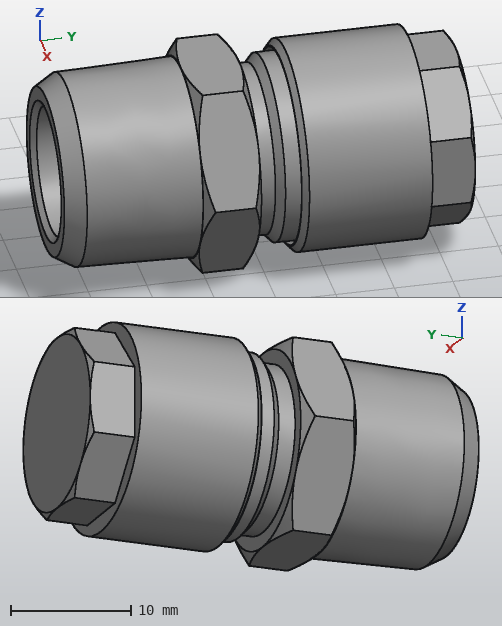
import cadquery as cq
import math

THREAD_CHAMFER_END = 1.7
BODY_HEX_START = 11.55
BODY_HEX_END = 16.52
NECK_END = 18.0
COLLAR_CONE_END = 18.7
NUT_START = 20.0
NUT_RECESS_END = 21.0
NUT_CHAMFER_END = 20.5
NUT_END = 31.0
LENGTH = 35.0

THREAD_TIP_RADIUS = 7.18
THREAD_SMALL_RADIUS = 8.2
THREAD_LARGE_RADIUS = 8.45
NECK_RADIUS = 7.25
COLLAR_RADIUS = 7.98
NUT_RADIUS = 9.0
NUT_FACE_RADIUS = 8.45
NUT_BORE_RADIUS = 8.33

BODY_HEX_FLATS = 17.0
END_OCTAGON_FLATS = 14.98
CORNER_BEVEL_ANGLE = 30.0

BORE_RADIUS = 5.5
BORE_MOUTH_RADIUS = 6.0
BORE_CHAMFER_DEPTH = 0.5
BORE_DEPTH = 2.8


def revolve_profile(points):
    """Revolve a closed (radius, y) outline about the Y axis."""
    return cq.Workplane("XY").polyline(points).close().revolve(360, (0, 0, 0), (0, 1, 0))


def wrench_prism(sides, flats, start, end, bevel_start):
    """Polygonal prism along Y with conically bevelled corners at its end and optionally its start."""
    flat_radius = flats / 2
    corner_radius = flat_radius / math.cos(math.pi / sides)
    bevel = (corner_radius - flat_radius) * math.tan(math.radians(CORNER_BEVEL_ANGLE))
    prism = (
        cq.Workplane("XZ", origin=(0, start, 0))
        .polygon(sides, 2 * corner_radius)
        .extrude(start - end)
    )
    if sides % 4 == 0:
        prism = prism.rotate((0, 0, 0), (0, 1, 0), 180 / sides)
    outline = [(0, start)]
    if bevel_start:
        outline += [(flat_radius, start), (corner_radius, start + bevel)]
    else:
        outline += [(corner_radius, start)]
    outline += [(corner_radius, end - bevel), (flat_radius, end), (0, end)]
    return prism.intersect(revolve_profile(outline))


turned_body = revolve_profile([
    (0, 0),
    (THREAD_TIP_RADIUS, 0),
    (THREAD_SMALL_RADIUS, THREAD_CHAMFER_END),
    (THREAD_LARGE_RADIUS, BODY_HEX_START),
    (NECK_RADIUS, BODY_HEX_START),
    (NECK_RADIUS, NECK_END),
    (COLLAR_RADIUS, COLLAR_CONE_END),
    (COLLAR_RADIUS, NUT_RECESS_END),
    (NUT_BORE_RADIUS, NUT_RECESS_END),
    (NUT_BORE_RADIUS, NUT_START),
    (NUT_FACE_RADIUS, NUT_START),
    (NUT_RADIUS, NUT_CHAMFER_END),
    (NUT_RADIUS, NUT_END),
    (0, NUT_END),
])

body_hex = wrench_prism(6, BODY_HEX_FLATS, BODY_HEX_START, BODY_HEX_END, bevel_start=True)
end_octagon = wrench_prism(8, END_OCTAGON_FLATS, NUT_END, LENGTH, bevel_start=False)

bore = revolve_profile([
    (0, 0),
    (BORE_MOUTH_RADIUS, 0),
    (BORE_RADIUS, BORE_CHAMFER_DEPTH),
    (BORE_RADIUS, BORE_DEPTH),
    (0, BORE_DEPTH),
])

result = turned_body.union(body_hex).union(end_octagon).cut(bore)